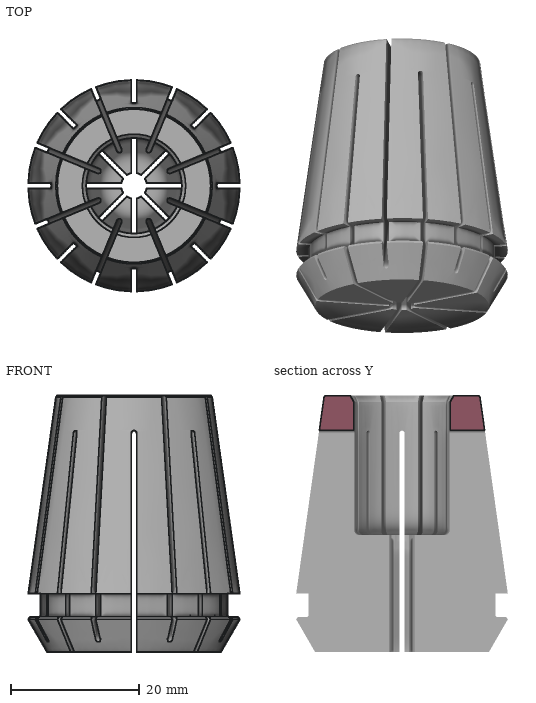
import cadquery as cq
import math

TOTAL_HEIGHT = 40.0
MAX_RADIUS = 16.5
NOSE_ANGLE = 30.0
TAPER_ANGLE = 8.0

FLANGE_EDGE_Z = 5.1
FLANGE_TOP_Z = 5.5
FLANGE_TOP_RADIUS = 16.2
GROOVE_RADIUS = 14.6
GROOVE_TOP_Z = 9.1
GROOVE_FILLET = 0.2
TOP_CHAMFER = 0.25

GRIP_RADIUS = 2.0
RELIEF_RADIUS = 7.45
RELIEF_FLOOR_FILLET = 0.8
MOUTH_RADIUS = 8.05
MOUTH_ANGLE = 30.0

SLOT_COUNT = 8
SLOT_WIDTH = 0.8
SLOT_PITCH = 360.0 / SLOT_COUNT
NOSE_SLOT_END_Z = 34.5
TOP_SLOT_FLOOR_ANGLE = 62.0
TOP_SLOT_EXIT_Z = 1.57
TOP_SLOT_INNER_RADIUS = 5.6
CLEARANCE = 1.0
SLOT_REACH = MAX_RADIUS + CLEARANCE

nose_slope = math.tan(math.radians(NOSE_ANGLE))
taper_slope = math.tan(math.radians(TAPER_ANGLE))
floor_slope = math.tan(math.radians(TOP_SLOT_FLOOR_ANGLE))
mouth_depth = (MOUTH_RADIUS - RELIEF_RADIUS) / math.tan(math.radians(MOUTH_ANGLE))

nose_radius = MAX_RADIUS - FLANGE_EDGE_Z * nose_slope
top_radius = MAX_RADIUS - (TOTAL_HEIGHT - GROOVE_TOP_Z) * taper_slope

slot_exit_radius = nose_radius + TOP_SLOT_EXIT_Z * nose_slope
relief_floor_z = TOP_SLOT_EXIT_Z + (slot_exit_radius - TOP_SLOT_INNER_RADIUS) * floor_slope


def slot_axis_z(radius):
    """Height, at a given radius, of the axis that the round top-slot floor is centred on."""
    axis_lift = SLOT_WIDTH / 2 / math.cos(math.radians(TOP_SLOT_FLOOR_ANGLE))
    return TOP_SLOT_EXIT_Z + (slot_exit_radius - radius) * floor_slope + axis_lift


def make_body():
    """Revolve the wall section about the Z axis."""
    chamfer_base_z = TOTAL_HEIGHT - TOP_CHAMFER
    chamfer_base_radius = top_radius + TOP_CHAMFER * taper_slope
    arc_inset = 1 - math.sqrt(0.5)
    groove_corner = GROOVE_FILLET * arc_inset
    floor_corner = RELIEF_FLOOR_FILLET * arc_inset
    section = (
        cq.Workplane("XZ")
        .moveTo(GRIP_RADIUS, 0)
        .lineTo(nose_radius, 0)
        .lineTo(MAX_RADIUS, FLANGE_EDGE_Z)
        .lineTo(FLANGE_TOP_RADIUS, FLANGE_TOP_Z)
        .lineTo(GROOVE_RADIUS + GROOVE_FILLET, FLANGE_TOP_Z)
        .threePointArc(
            (GROOVE_RADIUS + groove_corner, FLANGE_TOP_Z + groove_corner),
            (GROOVE_RADIUS, FLANGE_TOP_Z + GROOVE_FILLET),
        )
        .lineTo(GROOVE_RADIUS, GROOVE_TOP_Z)
        .lineTo(MAX_RADIUS, GROOVE_TOP_Z)
        .lineTo(chamfer_base_radius, chamfer_base_z)
        .lineTo(chamfer_base_radius - TOP_CHAMFER, TOTAL_HEIGHT)
        .lineTo(MOUTH_RADIUS, TOTAL_HEIGHT)
        .lineTo(RELIEF_RADIUS, TOTAL_HEIGHT - mouth_depth)
        .lineTo(RELIEF_RADIUS, relief_floor_z + RELIEF_FLOOR_FILLET)
        .threePointArc(
            (RELIEF_RADIUS - floor_corner, relief_floor_z + floor_corner),
            (RELIEF_RADIUS - RELIEF_FLOOR_FILLET, relief_floor_z),
        )
        .lineTo(GRIP_RADIUS, relief_floor_z)
        .close()
    )
    return section.revolve(360, (0, 0, 0), (0, 1, 0))


def make_slot(axis_z, outer_axis_z, open_z):
    """Radial slot from the Z axis outwards, open at one end and fully rounded at the other.

    The rounding axis runs from axis_z on the Z axis to outer_axis_z outside the part.
    """
    plate = (
        cq.Workplane("XZ")
        .polyline([(0, axis_z), (SLOT_REACH, outer_axis_z), (SLOT_REACH, open_z), (0, open_z)])
        .close()
        .extrude(SLOT_WIDTH / 2, both=True)
    )
    start = cq.Vector(0, 0, axis_z)
    run = cq.Vector(SLOT_REACH, 0, outer_axis_z) - start
    rounding = cq.Solid.makeCylinder(SLOT_WIDTH / 2, run.Length, start, run)
    return plate.union(cq.Workplane(obj=rounding))


def make_nose_slot():
    """Slot through the whole wall, open at the nose."""
    end_axis_z = NOSE_SLOT_END_Z - SLOT_WIDTH / 2
    return make_slot(end_axis_z, end_axis_z, -CLEARANCE)


def make_top_slot():
    """Slot open at the top, with a floor that slopes up towards the axis."""
    return make_slot(slot_axis_z(0), slot_axis_z(SLOT_REACH), TOTAL_HEIGHT + CLEARANCE)


result = make_body()
nose_slot = make_nose_slot()
top_slot = make_top_slot()
for index in range(SLOT_COUNT):
    angle = index * SLOT_PITCH
    result = result.cut(nose_slot.rotate((0, 0, 0), (0, 0, 1), angle))
    result = result.cut(top_slot.rotate((0, 0, 0), (0, 0, 1), angle + SLOT_PITCH / 2))